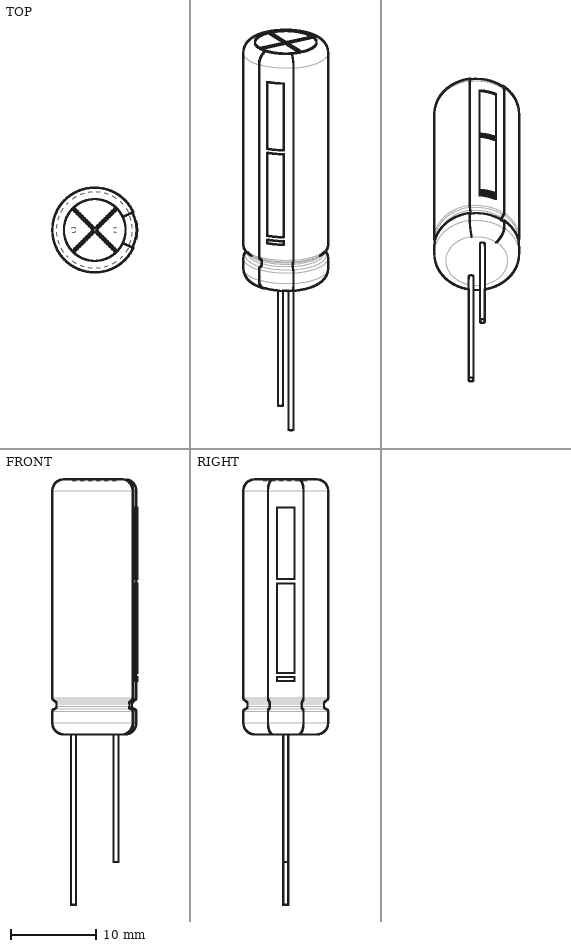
import cadquery as cq
import math

body_radius = 5.0
body_height = 30.0
end_round = 1.37

groove_radius = 4.5
groove_round = 0.31
groove_step_z = 3.0
groove_floor_height = 0.3
groove_cone_height = 0.42

stripe_depth = 0.1
stripe_angle = 50.0

bar_width = 2.0
bar_bottom_z = 6.3
bar_top_z = 26.7
bar_gap = 0.5
bar_gap_pitch = 11.0
first_gap_z = 7.0

vent_radius = body_radius - end_round
vent_recess = 0.1
score_width = 0.25
score_depth = 0.1
score_angles = (45, -45)

lead_diameter = 0.6
lead_pitch = 5.0
long_lead = 20.0
short_lead = 15.0
lead_embed = 1.0


def can_sector(inset, sweep, start):
    """Turn the can outline, drawn in by inset, counter-clockwise from angle start by sweep."""
    outer = body_radius - inset
    floor = groove_radius - inset
    r = groove_round

    half_depth = (outer - floor) / 2
    middle = floor + half_depth
    arc_height = math.sqrt(r**2 - (r - half_depth) ** 2)
    floor_bottom_z = groove_step_z + arc_height

    floor_top_z = floor_bottom_z + groove_floor_height
    cone_angle = math.atan2(outer - floor, groove_cone_height)
    tangent = r * math.tan(cone_angle / 2)
    tangent_r = tangent * math.sin(cone_angle)
    tangent_z = tangent * math.cos(cone_angle)
    cone_bottom_z = floor_top_z + tangent
    cone_top_z = cone_bottom_z + groove_cone_height

    profile = (
        cq.Workplane("XZ")
        .lineTo(outer - end_round, 0)
        .radiusArc((outer, end_round), -end_round)
        .lineTo(outer, groove_step_z - arc_height)
        .radiusArc((middle, groove_step_z), -r)
        .radiusArc((floor, floor_bottom_z), r)
        .lineTo(floor, floor_top_z)
        .radiusArc((floor + tangent_r, cone_bottom_z + tangent_z), r)
        .lineTo(outer - tangent_r, cone_top_z - tangent_z)
        .radiusArc((outer, cone_top_z + tangent), -r)
        .lineTo(outer, body_height - end_round)
        .radiusArc((outer - end_round, body_height), -end_round)
        .lineTo(0, body_height)
        .close()
    )
    sector = profile.revolve(sweep, (0, 0, 0), (0, 1, 0))
    return sector.rotate((0, 0, 0), (0, 0, 1), start)


def stripe_bars():
    """Bars that rise from the stripe back to the full can radius."""
    overlap_radius = body_radius - 2 * stripe_depth
    band = (
        cq.Workplane("XY")
        .workplane(offset=bar_bottom_z)
        .circle(body_radius)
        .circle(overlap_radius)
        .extrude(bar_top_z - bar_bottom_z)
    )
    window = cq.Workplane("XY").box(
        body_radius, bar_width, body_height, centered=(False, True, False)
    )
    bars = band.intersect(window)
    gap_z = first_gap_z
    while gap_z < bar_top_z:
        gap = cq.Workplane("XY").box(2 * body_radius, bar_width, bar_gap)
        bars = bars.cut(gap.translate((body_radius, 0, gap_z)))
        gap_z += bar_gap_pitch
    return bars


def vent_cut():
    """Recess in the top face, with the score lines sunk into its floor."""
    recess_z = body_height - vent_recess
    cut = cq.Workplane("XY").workplane(offset=recess_z).circle(vent_radius).extrude(vent_recess)
    for angle in score_angles:
        score = (
            cq.Workplane("XY")
            .workplane(offset=recess_z - score_depth)
            .rect(2 * vent_radius, score_width)
            .extrude(score_depth + vent_recess)
            .rotate((0, 0, 0), (0, 0, 1), angle)
        )
        cut = cut.union(score)
    disc = cq.Workplane("XY").circle(vent_radius).extrude(body_height)
    return cut.intersect(disc)


def lead(x, length):
    """Round wire at x that hangs length below the can."""
    return (
        cq.Workplane("XY")
        .workplane(offset=-length)
        .center(x, 0)
        .circle(lead_diameter / 2)
        .extrude(length + lead_embed)
    )


can = can_sector(0, 360 - stripe_angle, stripe_angle / 2)
stripe = can_sector(stripe_depth, stripe_angle, -stripe_angle / 2)
result = can.union(stripe).union(stripe_bars()).cut(vent_cut())
result = result.union(lead(-lead_pitch / 2, long_lead))
result = result.union(lead(lead_pitch / 2, short_lead))